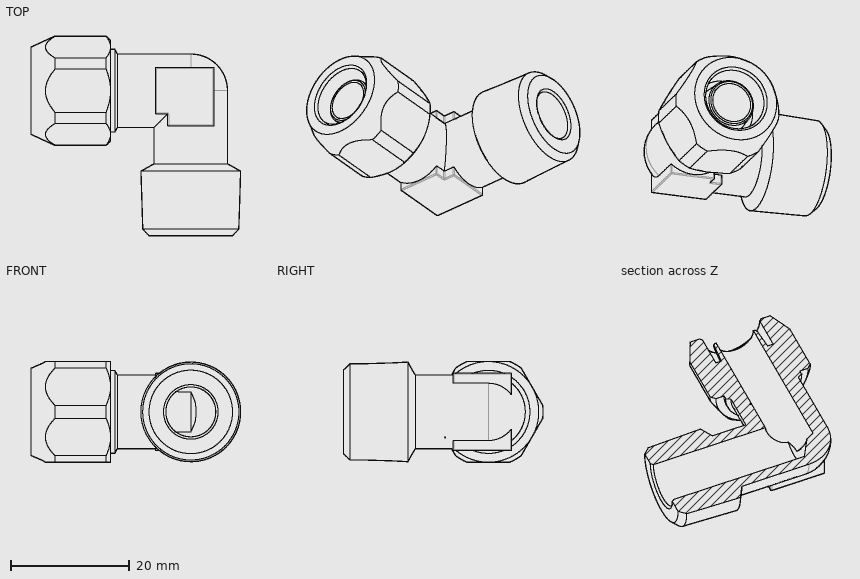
import cadquery as cq
import math


body_radius = 6.25

block_outer = 3.95
block_inner = 6.0
block_notch = 3.9
block_half_height = 6.55
block_edge_fillet = 0.18

nut_end = 27.0
nut_back = 13.55
nut_across_flats = 17.0
nut_corner_radius = 9.25
nut_face_radius = 7.37
nut_cone_length = 4.08
nut_back_chamfer = 0.75

collar_radius = 7.0
collar_chamfer_start = 12.83
collar_end = 12.4

socket_radius = 5.25
socket_depth = 6.02
socket_chamfer = 0.43
sleeve_tip_depth = 2.0
sleeve_tip_radius = 3.75
sleeve_shoulder_radius = 4.0
sleeve_tip_chamfer = sleeve_shoulder_radius - sleeve_tip_radius
sleeve_root_radius = 4.3

thread_end = 24.5
thread_radius = 8.45
thread_back = 13.57
thread_cone_back = 12.35
thread_taper = 1 / 16
thread_lead_length = 1.15
thread_face_radius = 7.05

nut_bore_radius = 3.4
thread_bore_radius = 4.2
thread_bore_chamfer = 0.4
drill_point_angle = 120.0


def revolve_arm(profile):
    """Revolve (distance from elbow centre, radius) points into a solid along -X."""
    points = [(-distance, radius) for distance, radius in profile]
    return cq.Workplane("XY").polyline(points).close().revolve(360, (0, 0), (1, 0))


def onto_thread_arm(solid):
    """Turn a solid from the -X arm onto the -Y arm."""
    return solid.rotate((0, 0, 0), (0, 0, 1), 90)


def make_body():
    arm = revolve_arm([(0, 0), (0, body_radius), (nut_back, body_radius), (nut_back, 0)])
    bend = cq.Workplane("XY").sphere(body_radius)
    return bend.union(arm).union(onto_thread_arm(arm))


def make_block():
    outline = [
        (block_outer, block_outer),
        (-block_inner, block_outer),
        (-block_inner, -block_notch),
        (-block_notch, -block_notch),
        (-block_notch, -block_inner),
        (block_outer, -block_inner),
    ]
    block = cq.Workplane("XY").polyline(outline).close().extrude(block_half_height, both=True)
    block = block.edges("|Z").fillet(block_edge_fillet)
    return block.faces("|Z").edges().fillet(block_edge_fillet)


def make_nut():
    hexagon_diameter = nut_across_flats / math.cos(math.radians(30))
    hexagon = (
        cq.Workplane("YZ", origin=(-nut_end, 0, 0))
        .polygon(6, hexagon_diameter)
        .extrude(nut_end - nut_back)
    )
    turned_shape = revolve_arm([
        (nut_end, 0),
        (nut_end, nut_face_radius),
        (nut_end - nut_cone_length, nut_corner_radius),
        (nut_back + nut_back_chamfer, nut_corner_radius),
        (nut_back, nut_corner_radius - nut_back_chamfer),
        (nut_back, 0),
    ])
    return hexagon.intersect(turned_shape)


def make_collar():
    return revolve_arm([
        (nut_back, 0),
        (nut_back, collar_radius),
        (collar_chamfer_start, collar_radius),
        (collar_end, body_radius),
        (collar_end, 0),
    ])


def make_threaded_end():
    lead_start = thread_end - thread_lead_length
    small_radius = thread_radius - (lead_start - thread_back) * thread_taper / 2
    return onto_thread_arm(revolve_arm([
        (thread_cone_back, 0),
        (thread_cone_back, body_radius),
        (thread_back, thread_radius),
        (lead_start, small_radius),
        (thread_end, thread_face_radius),
        (thread_end, 0),
    ]))


def make_socket():
    """Ring-shaped cavity between the nut and the sleeve, open at the nut face."""
    sleeve_tip = nut_end - sleeve_tip_depth
    socket_floor = nut_end - socket_depth
    return revolve_arm([
        (nut_end, 0),
        (nut_end, socket_radius + socket_chamfer),
        (nut_end - socket_chamfer, socket_radius),
        (socket_floor, socket_radius),
        (socket_floor, sleeve_root_radius),
        (sleeve_tip - sleeve_tip_chamfer, sleeve_shoulder_radius),
        (sleeve_tip, sleeve_tip_radius),
        (sleeve_tip, 0),
    ])


def make_bore(radius, length, mouth_chamfer=0.0):
    """Drilled hole from the arm's end to the elbow centre, with its drill point beyond."""
    point_length = radius / math.tan(math.radians(drill_point_angle / 2))
    profile = [(-point_length, 0), (0, radius)]
    if mouth_chamfer > 0:
        profile.append((length - mouth_chamfer, radius))
    profile += [(length, radius + mouth_chamfer), (length, 0)]
    return revolve_arm(profile)


nut_bore = make_bore(nut_bore_radius, nut_end)
thread_bore = onto_thread_arm(make_bore(thread_bore_radius, thread_end, thread_bore_chamfer))

result = (
    make_body()
    .union(make_block())
    .union(make_nut())
    .union(make_collar())
    .union(make_threaded_end())
    .cut(make_socket())
    .cut(nut_bore)
    .cut(thread_bore)
)